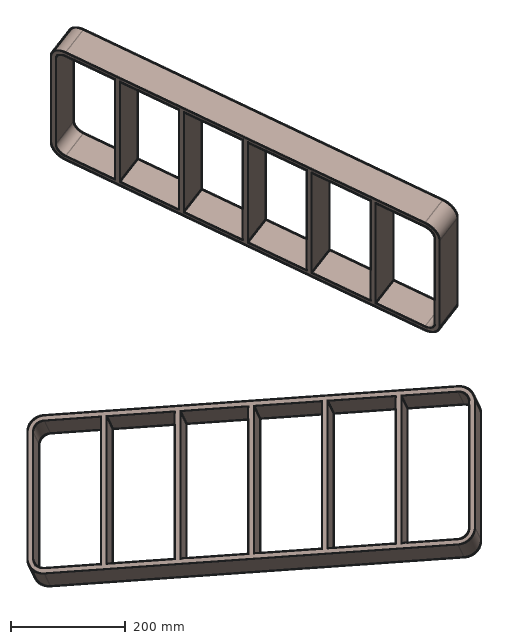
import cadquery as cq

length = 793.0
depth = 60.0
height = 298.0
wall = 10.0
outer_radius = 30.0
inner_radius = outer_radius - wall

bay_count = 6
divider_thickness = wall
divider_pitch = (length - wall) / bay_count
inner_height = height - 2 * wall


def rounded_block(size_x, size_z, radius):
    """Centred block with its four corners rounded along Y."""
    return cq.Workplane("XY").box(size_x, depth, size_z).edges("|Y").fillet(radius)


def make_frame():
    outside = rounded_block(length, height, outer_radius)
    opening = rounded_block(length - 2 * wall, inner_height, inner_radius)
    return outside.cut(opening)


def make_divider(x):
    return cq.Workplane("XY").box(divider_thickness, depth, inner_height + wall).translate((x, 0, 0))


result = make_frame()
for index in range(1, bay_count):
    divider_x = (index - bay_count / 2) * divider_pitch
    result = result.union(make_divider(divider_x))
result = result.clean()